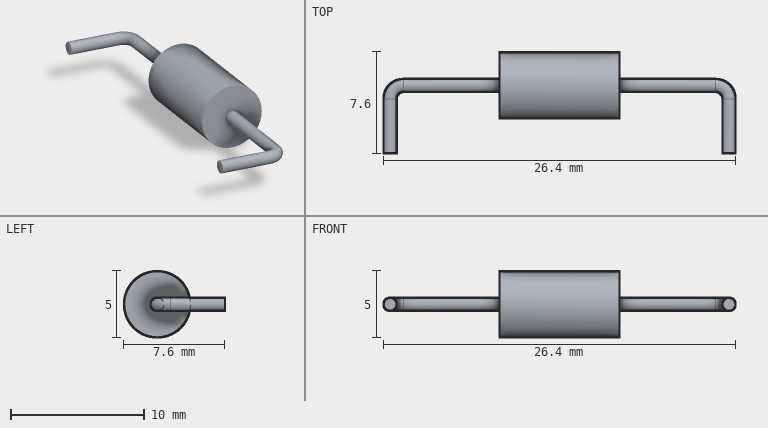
import cadquery as cq

overall_length = 26.4
lead_diameter = 1.0
bend_radius = 1.0
lead_reach = 5.1
body_diameter = 5.0
body_length = 9.0

lead_radius = lead_diameter / 2
lead_x = overall_length / 2 - lead_radius


def make_body():
    left_end = cq.Workplane("YZ", origin=(-body_length / 2, 0, 0))
    return left_end.circle(body_diameter / 2).extrude(body_length)


def make_lead():
    """Lead on the +X side, running from the body centre to its tip."""
    path = (
        cq.Workplane("XY")
        .lineTo(lead_x - bend_radius, 0)
        .tangentArcPoint((lead_x, -bend_radius), relative=False)
        .lineTo(lead_x, -lead_reach)
    )
    return cq.Workplane("YZ").circle(lead_radius).sweep(path)


lead = make_lead()
result = make_body().union(lead).union(lead.mirror("YZ"))